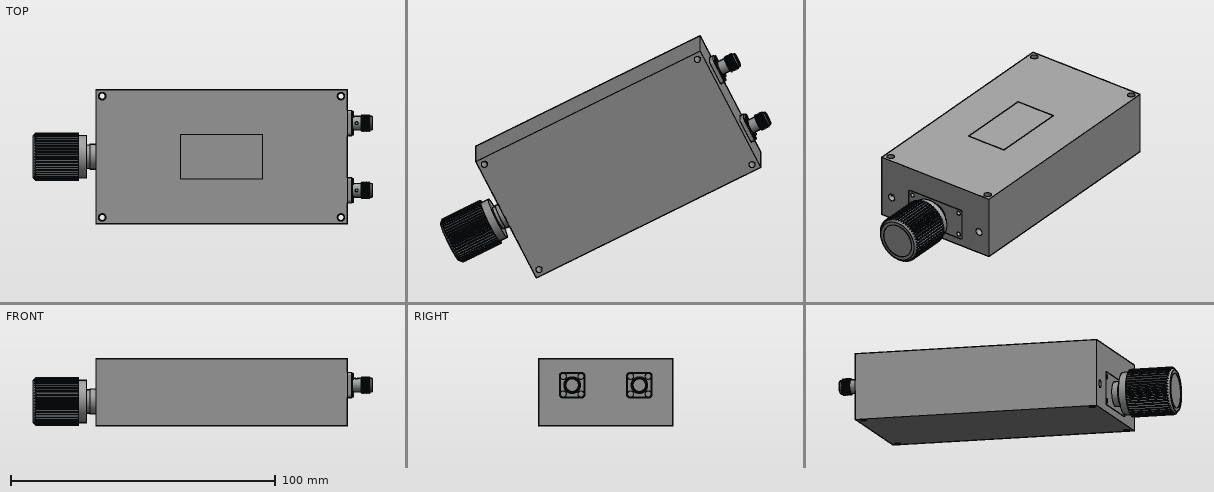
import cadquery as cq
import math

housing_length = 95.3
housing_width = 50.8
lid_thickness = 2.5
total_height = 25.5
knob_end_length = 23.8
overall_length = 128.6
housing_back = knob_end_length + housing_length

label_length = 31.1
label_width = 16.7
recess_depth = 0.1

lid_hole_inset = 2.5
lid_hole_diameter = 2.8
lid_thread_diameter = 2.3

knob_axis_height = 9.3
knob_diameter = 18.1
knob_chamfer = 1.2
knob_length = 17.2
knob_cap_diameter = 13.3
collar_diameter = 16.2
collar_end = 20.3
shaft_diameter = 9.5
neck_diameter = 9.0
neck_length = 1.3
knurl_count = 48
knurl_depth = 0.5
knurl_width = 0.8

plate_width = 25.2
plate_height = 12.7
plate_corner_radius = 0.6
plate_hole_offset_y = 10.9
plate_hole_offset_z = 4.6
plate_hole_diameter = 1.7
side_hole_offset = 20.7
side_hole_diameter = 2.8
blind_hole_depth = 3.9
drill_point_angle = 118.0

connector_height = 15.5
connector_spacing = 25.5
flange_size = 9.6
flange_thickness = 1.9
flange_corner_radius = 1.3
flange_chamfer = 0.4
flange_screw_offset = 3.3
flange_screw_diameter = 2.3
flange_screw_height = 0.4
barrel_diameter = 5.3
barrel_chamfer = 0.3
vent_diameter = 1.09
vent_depth = 0.4
vent_distance = 3.5
thread_diameter = 6.3
thread_root_diameter = 5.5
thread_start = 5.1
thread_pitch = 0.58
thread_ridges = 6


def rod(start, length, diameter, y, z):
    """Cylinder along +X."""
    plane = cq.Plane(origin=(start, y, z), xDir=(0, 1, 0), normal=(1, 0, 0))
    return cq.Workplane(plane).circle(diameter / 2).extrude(length)


def drilled_hole(diameter, y, z):
    """Blind hole with a conical bottom, drilled into the front face."""
    radius = diameter / 2
    point_length = radius / math.tan(math.radians(drill_point_angle / 2))
    profile = [
        (0, 0),
        (0, radius),
        (blind_hole_depth, radius),
        (blind_hole_depth + point_length, 0),
    ]
    hole = cq.Workplane("XY").polyline(profile).close().revolve(360, (0, 0), (1, 0))
    return hole.translate((knob_end_length, y, z))


def make_housing():
    base_height = total_height - lid_thickness
    base = cq.Workplane("XY").box(housing_length, housing_width, base_height, centered=(False, True, False))
    lid = cq.Workplane("XY").box(housing_length, housing_width, lid_thickness, centered=(False, True, False))
    hole_pattern = (housing_length - 2 * lid_hole_inset, housing_width - 2 * lid_hole_inset)
    base = (
        base.faces(">Z").workplane(origin=(housing_length / 2, 0, base_height))
        .rect(*hole_pattern, forConstruction=True).vertices().hole(lid_thread_diameter)
    )
    lid = (
        lid.faces(">Z").workplane(origin=(housing_length / 2, 0, lid_thickness))
        .rect(*hole_pattern, forConstruction=True).vertices().hole(lid_hole_diameter)
    )
    lid = (
        lid.faces(">Z").workplane(origin=(housing_length / 2, 0, lid_thickness))
        .rect(label_length, label_width).cutBlind(-recess_depth)
    )
    housing = base.union(lid.translate((0, 0, base_height)), clean=False)
    return housing.translate((knob_end_length, 0, 0))


def cut_front_face(housing):
    recess = (
        cq.Workplane("XY").box(recess_depth, plate_width, plate_height, centered=(False, True, True))
        .edges("|X").fillet(plate_corner_radius)
    )
    housing = housing.cut(recess.translate((knob_end_length, 0, knob_axis_height)), clean=False)
    for side in (-1, 1):
        hole = drilled_hole(side_hole_diameter, side * side_hole_offset, knob_axis_height)
        housing = housing.cut(hole, clean=False)
        for level in (-1, 1):
            z = knob_axis_height + level * plate_hole_offset_z
            hole = drilled_hole(plate_hole_diameter, side * plate_hole_offset_y, z)
            housing = housing.cut(hole, clean=False)
    return housing


def make_knob():
    grip = rod(0, knob_length, knob_diameter, 0, 0).faces("<X").chamfer(knob_chamfer)
    groove_bottom = knob_diameter / 2 - knurl_depth
    flanks = [
        (-knurl_width, groove_bottom + 2 * knurl_depth),
        (0, groove_bottom),
        (knurl_width, groove_bottom + 2 * knurl_depth),
    ]
    groove = cq.Workplane("YZ").polyline(flanks).close().extrude(knob_length)
    grooves = [
        groove.rotate((0, 0, 0), (1, 0, 0), index * 360 / knurl_count).val()
        for index in range(knurl_count)
    ]
    grip = grip.cut(cq.Workplane(cq.Compound.makeCompound(grooves)))
    grip = grip.cut(rod(0, recess_depth, knob_cap_diameter, 0, 0))

    neck_end = collar_end + neck_length
    collar = rod(knob_length, collar_end - knob_length, collar_diameter, 0, 0)
    neck = rod(collar_end, neck_length, neck_diameter, 0, 0)
    shaft = rod(neck_end, knob_end_length + recess_depth - neck_end, shaft_diameter, 0, 0)
    return grip.union(collar).union(neck).union(shaft).translate((0, 0, knob_axis_height))


def make_connector(y):
    flange = (
        cq.Workplane("XY").box(flange_thickness, flange_size, flange_size, centered=(False, True, True))
        .edges("|X").fillet(flange_corner_radius)
        .faces(">X").chamfer(flange_chamfer)
    )
    barrel_length = overall_length - housing_back
    barrel = rod(0, barrel_length, barrel_diameter, 0, 0).faces(">X").chamfer(barrel_chamfer)
    connector = flange.union(barrel)

    for side in (-1, 1):
        for level in (-1, 1):
            screw = rod(
                0, flange_thickness + flange_screw_height, flange_screw_diameter,
                side * flange_screw_offset, level * flange_screw_offset,
            )
            connector = connector.union(screw)

    root_radius = thread_root_diameter / 2
    profile = cq.Workplane("XY").moveTo(thread_start, 0).lineTo(thread_start, root_radius)
    for index in range(thread_ridges):
        ridge_start = thread_start + index * thread_pitch
        profile = profile.lineTo(ridge_start + thread_pitch / 2, thread_diameter / 2)
        profile = profile.lineTo(ridge_start + thread_pitch, root_radius)
    thread_end = thread_start + thread_ridges * thread_pitch
    thread = profile.lineTo(thread_end, 0).close().revolve(360, (0, 0), (1, 0))
    connector = connector.union(thread)

    vent = (
        cq.Workplane("XY", origin=(vent_distance, 0, barrel_diameter / 2 - vent_depth))
        .circle(vent_diameter / 2).extrude(barrel_diameter)
    )
    return connector.cut(vent).translate((housing_back, y, connector_height))


result = cut_front_face(make_housing()).union(make_knob(), clean=False)
for side in (-1, 1):
    result = result.union(make_connector(side * connector_spacing / 2), clean=False)